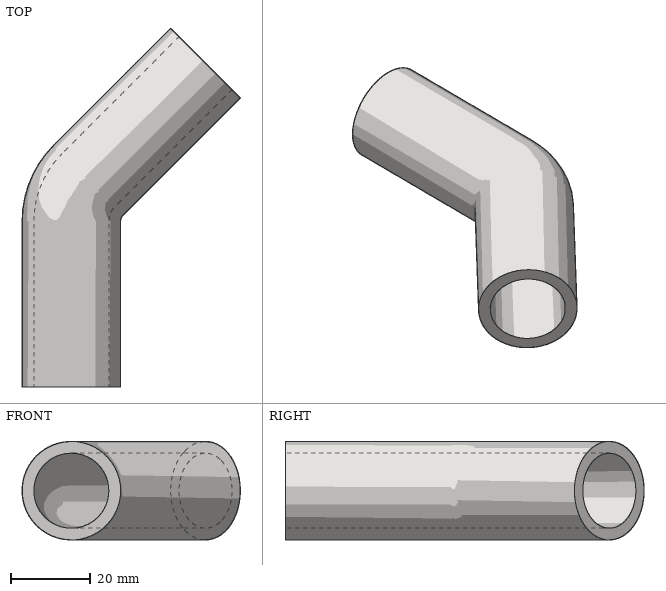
import cadquery as cq
import math

overall_length = 90.8

outer_diameter = 25.0
bore_diameter = 19.0

bend_angle = 45
bend_radius = 14.5
turn = math.radians(bend_angle)

center_to_end = (overall_length - outer_diameter / 2 * math.sin(turn)) / (1 + math.cos(turn))

tangent_length = bend_radius * math.tan(turn / 2)
leg_length = center_to_end - tangent_length


def pipe_section(workplane):
    """Draw the ring-shaped pipe section on a workplane."""
    return workplane.circle(outer_diameter / 2).circle(bore_diameter / 2)


inlet_leg = pipe_section(cq.Workplane("XZ")).extrude(leg_length)

bend = pipe_section(cq.Workplane("XZ")).revolve(
    bend_angle, (bend_radius, 0, 0), (bend_radius, -1, 0)
)

outlet_leg = (
    pipe_section(cq.Workplane("XZ"))
    .extrude(-leg_length)
    .rotate((bend_radius, 0, 0), (bend_radius, 0, 1), -bend_angle)
)

result = inlet_leg.union(bend).union(outlet_leg)